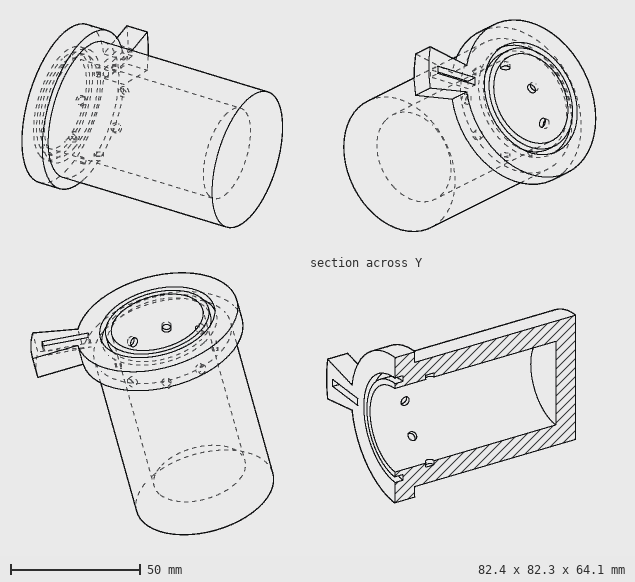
import cadquery as cq
import math

length = 82.4
body_radius = 27.4
flange_radius = 32.05
flange_thickness = 9.15

tab_radius = 50.3
tab_half_angle = math.radians(10)
slot_start = body_radius
slot_length = 18.3
slot_width = 3.05
slot_depth = flange_thickness / 2

bore_radius = 18.3
groove_inner_radius = 20.6
groove_outer_radius = 22.9
groove_depth = 3.6
end_wall = 9.15
bore_depth = length - end_wall

hole_count = 8
hole_diameter = 3.6
hole_position = 16.0
hole_depth = 1.8


def disc(radius, thickness):
    return cq.Workplane("YZ").circle(radius).extrude(thickness)


def make_tab():
    """Sector centred on the axis, with radial sides and a concentric outer arc."""
    tip_y = tab_radius * math.cos(tab_half_angle)
    tip_z = tab_radius * math.sin(tab_half_angle)
    return (
        cq.Workplane("YZ")
        .lineTo(tip_y, -tip_z)
        .threePointArc((tab_radius, 0), (tip_y, tip_z))
        .close()
        .extrude(flange_thickness)
    )


def make_slot():
    return (
        cq.Workplane("YZ")
        .center(slot_start + slot_length / 2, 0)
        .rect(slot_length, slot_width)
        .extrude(slot_depth)
    )


def make_groove():
    return (
        cq.Workplane("YZ")
        .circle(groove_outer_radius)
        .circle(groove_inner_radius)
        .extrude(groove_depth)
    )


def make_radial_hole(angle):
    """Blind hole sunk radially into the bore wall, turned about X."""
    reach = bore_radius + hole_depth
    hole = cq.Workplane("XY").center(hole_position, 0).circle(hole_diameter / 2).extrude(reach)
    return hole.rotate((0, 0, 0), (1, 0, 0), angle)


result = disc(body_radius, length).union(disc(flange_radius, flange_thickness)).union(make_tab())
result = result.cut(make_slot()).cut(disc(bore_radius, bore_depth)).cut(make_groove())
for index in range(hole_count):
    result = result.cut(make_radial_hole(index * 360 / hole_count))